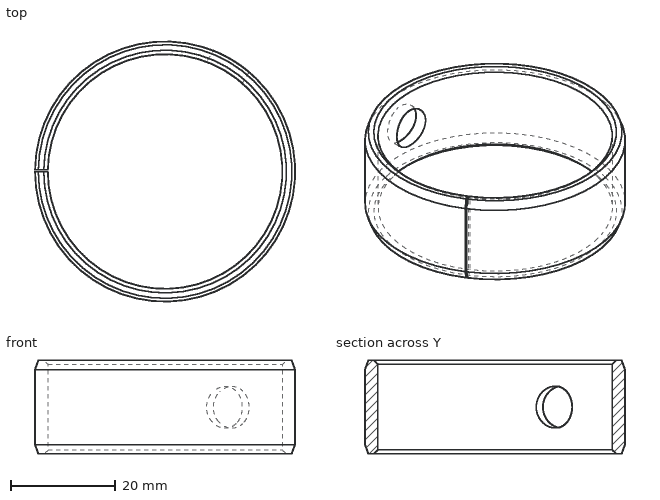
import cadquery as cq

outer_radius = 25.0
inner_radius = 22.5
height = 18.0

outer_bevel_height = 1.8
outer_bevel_width = 0.65
inner_bevel_height = 0.8
inner_bevel_width = 0.8

split_width = 0.3

hole_diameter = 8.0
hole_angle = 59.2


def make_ring():
    """Revolve the bevelled wall section about the Z axis."""
    half = height / 2
    section = [
        (inner_radius, -half + inner_bevel_height),
        (inner_radius + inner_bevel_width, -half),
        (outer_radius - outer_bevel_width, -half),
        (outer_radius, -half + outer_bevel_height),
        (outer_radius, half - outer_bevel_height),
        (outer_radius - outer_bevel_width, half),
        (inner_radius + inner_bevel_width, half),
        (inner_radius, half - inner_bevel_height),
    ]
    ring = cq.Workplane("XZ").polyline(section).close().revolve(360, (0, 0), (0, 1))
    return ring.rotate((0, 0, 0), (0, 0, 1), 180)


def make_split():
    """Thin slab from the axis outwards along -X, over the full height."""
    centre = (-outer_radius / 2, split_width / 2, 0)
    return cq.Workplane("XY").box(outer_radius, split_width, height).translate(centre)


def make_hole():
    """Cylinder from the axis outwards at mid height."""
    along_x = cq.Workplane("YZ").circle(hole_diameter / 2).extrude(outer_radius)
    return along_x.rotate((0, 0, 0), (0, 0, 1), hole_angle)


result = make_ring().cut(make_split()).cut(make_hole())